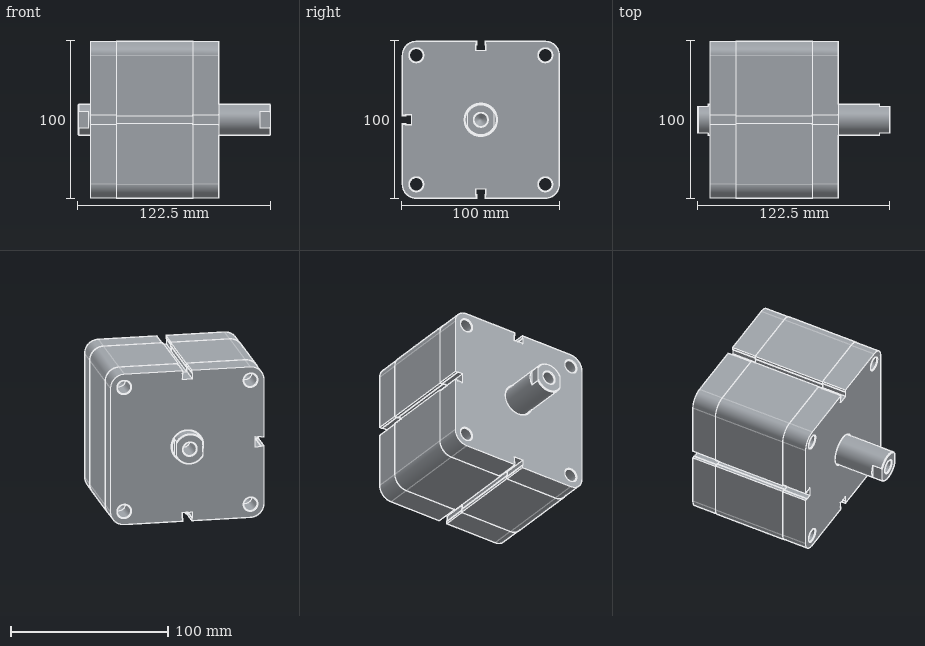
import cadquery as cq
import math


barrel_side = 100.0
cap_side = 99.7
corner_radius = 9.0
cap_length = 16.5
barrel_length = 48.8
body_length = 2 * cap_length + barrel_length

bolt_offset = 41.0
bolt_hole_diameter = 8.6
bolt_hole_chamfer = 0.5

slot_depth = 5.9
barrel_lip_width = 5.0
barrel_lip_depth = 2.5
barrel_slot_width = 5.9
cap_lip_width = 5.9
cap_lip_depth = 2.1
cap_slot_width = 6.6
slot_angles = (0, 90, 180)

rod_length = 122.5
rod_diameter = 20.0
rod_overhang = 7.8
rod_end_chamfer = 0.5
rod_bore_chamfer = 0.6
flat_width = 17.0
flat_length = 6.7
tapped_hole_diameter = 8.6
tapped_hole_depth = 19.6
tapped_hole_chamfer = 0.5
drill_tip_angle = 118.0


def turned_shape(profile):
    """Revolve a closed (x, radius) profile about the X axis."""
    return cq.Workplane("XY").polyline(profile).close().revolve(360, (0, 0, 0), (1, 0, 0))


def rounded_block(start, length, side):
    block = cq.Workplane("YZ").workplane(offset=start).rect(side, side).extrude(length)
    return block.edges("|X").fillet(corner_radius)


def slot_cutter(start, length, lip_width, lip_depth, inner_width):
    """T-slot cutters for the three slotted sides."""
    outer = barrel_side / 2
    lip = cq.Workplane("XY").box(length, lip_width, slot_depth, centered=(False, True, False))
    lip = lip.translate((start, 0, outer - slot_depth))
    inner_height = slot_depth - lip_depth
    inner = cq.Workplane("XY").box(length, inner_width, inner_height, centered=(False, True, False))
    inner = inner.translate((start, 0, outer - slot_depth))
    profile = lip.union(inner)
    cutter = profile
    for angle in slot_angles[1:]:
        cutter = cutter.union(profile.rotate((0, 0, 0), (1, 0, 0), angle))
    return cutter


def hole_cutter(start, length, diameter):
    return cq.Workplane("YZ").workplane(offset=start).circle(diameter / 2).extrude(length)


def chamfered_hole_cutter(length, diameter, chamfer):
    """Hole from X = 0 inward, widened by a 45 degree chamfer at its mouth."""
    radius = diameter / 2
    return turned_shape([
        (0, 0),
        (0, radius + chamfer),
        (chamfer, radius),
        (length, radius),
        (length, 0),
    ])


def bolt_positions():
    return [(y, z) for y in (-bolt_offset, bolt_offset) for z in (-bolt_offset, bolt_offset)]


def mirrored_along_rod(shape, middle):
    return shape.mirror("YZ", (middle, 0, 0))


def make_end_cap():
    """Near end cap, with its outer face at X = 0."""
    cap = rounded_block(0, cap_length, cap_side)
    cap = cap.cut(slot_cutter(0, cap_length, cap_lip_width, cap_lip_depth, cap_slot_width))
    cap = cap.cut(chamfered_hole_cutter(cap_length, rod_diameter, rod_bore_chamfer))
    bolt_hole = chamfered_hole_cutter(cap_length, bolt_hole_diameter, bolt_hole_chamfer)
    for y, z in bolt_positions():
        cap = cap.cut(bolt_hole.translate((0, y, z)))
    return cap


def make_barrel():
    barrel = rounded_block(cap_length, barrel_length, barrel_side)
    barrel = barrel.cut(
        slot_cutter(cap_length, barrel_length, barrel_lip_width, barrel_lip_depth, barrel_slot_width)
    )
    barrel = barrel.cut(hole_cutter(cap_length, barrel_length, rod_diameter))
    bolt_hole = hole_cutter(cap_length, barrel_length, bolt_hole_diameter)
    for y, z in bolt_positions():
        barrel = barrel.cut(bolt_hole.translate((0, y, z)))
    return barrel


def tapped_hole_cutter():
    """Blind hole with a chamfered mouth and a drill-point bottom, starting at X = 0."""
    radius = tapped_hole_diameter / 2
    tip_length = radius / math.tan(math.radians(drill_tip_angle / 2))
    return turned_shape([
        (0, 0),
        (0, radius + tapped_hole_chamfer),
        (tapped_hole_chamfer, radius),
        (tapped_hole_depth, radius),
        (tapped_hole_depth + tip_length, 0),
    ])


def flats_cutter():
    """Two blocks that leave a pair of wrench flats facing -Y and +Y, starting at X = 0."""
    from_end = (False, True, True)
    outer = cq.Workplane("XY").box(flat_length, 2 * rod_diameter, rod_diameter, centered=from_end)
    core = cq.Workplane("XY").box(flat_length, flat_width, rod_diameter, centered=from_end)
    return outer.cut(core)


def make_rod():
    rod = cq.Workplane("YZ").circle(rod_diameter / 2).extrude(rod_length)
    rod = rod.faces("<X or >X").chamfer(rod_end_chamfer)
    end_cutter = tapped_hole_cutter().union(flats_cutter())
    rod = rod.cut(end_cutter)
    rod = rod.cut(mirrored_along_rod(end_cutter, rod_length / 2))
    return rod.translate((-rod_overhang, 0, 0))


near_cap = make_end_cap()
end_caps = [near_cap, mirrored_along_rod(near_cap, body_length / 2)]
barrel = make_barrel()
rod = make_rod()

result = cq.Compound.makeCompound([*[cap.val() for cap in end_caps], barrel.val(), rod.val()])